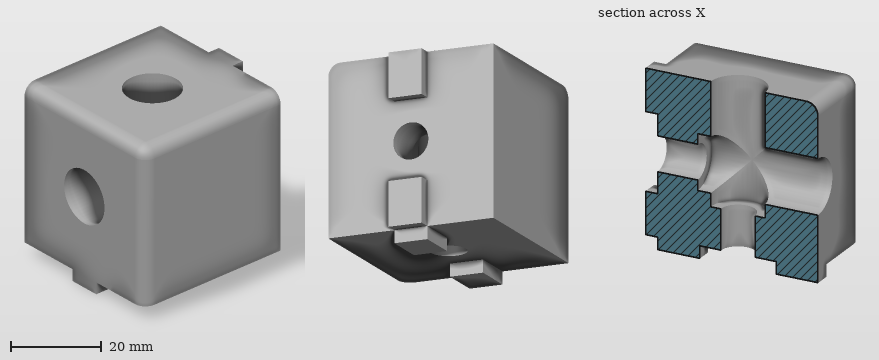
import cadquery as cq

cube_side = 40.0
edge_radius = 3.0
key_width = 8.0
key_height = 3.0
key_length = 10.5
bore_diameter = 8.5
counterbore_diameter = 13.5
floor_thickness = 10.0

center = cube_side / 2
counterbore_depth = cube_side - floor_thickness


def make_body():
    """Cube with the three edges meeting at the +X, -Y, +Z corner rounded."""
    body = cq.Workplane("XY").box(cube_side, cube_side, cube_side, centered=False)
    return body.edges("(>Z and <Y) or (>X and >Z) or (>X and <Y)").fillet(edge_radius)


def add_keys(body):
    """Locating keys on the bottom and back faces, flush with the ends of each face."""
    key_left = center - key_width / 2
    for start in (0, cube_side - key_length):
        bottom_key = (
            cq.Workplane("XY")
            .box(key_width, key_length, key_height, centered=False)
            .translate((key_left, start, -key_height))
        )
        back_key = (
            cq.Workplane("XY")
            .box(key_width, key_height, key_length, centered=False)
            .translate((key_left, cube_side, start))
        )
        body = body.union(bottom_key).union(back_key)
    return body


def cut_counterbored_hole(body, face_center, direction):
    """Through hole with a counterbore, entering the cube at face_center."""
    entry = cq.Vector(*face_center)
    inward = cq.Vector(*direction)
    bore = cq.Solid.makeCylinder(bore_diameter / 2, cube_side, entry, inward)
    counterbore = cq.Solid.makeCylinder(counterbore_diameter / 2, counterbore_depth, entry, inward)
    return body.cut(cq.Workplane(bore)).cut(cq.Workplane(counterbore))


result = add_keys(make_body())
result = cut_counterbored_hole(result, (center, 0, center), (0, 1, 0))
result = cut_counterbored_hole(result, (center, center, cube_side), (0, 0, -1))